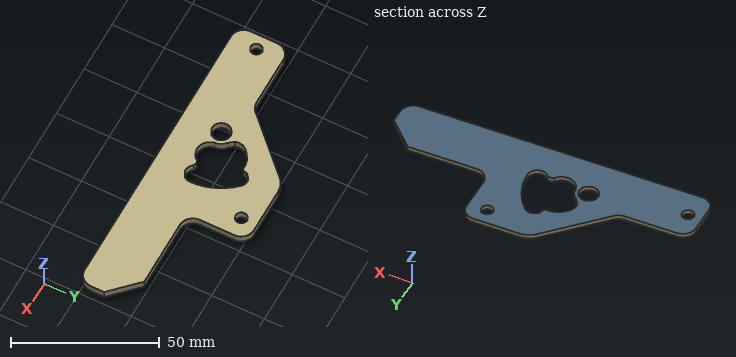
import cadquery as cq
import math

length = 115.0
height = 43.0
thickness = 3.2
arm_height = 20.0
tower_right = 74.5
slope_foot = 26.2
chamfer = 10.0
corner_radius = 5.0
slope_radius = 8.0

small_diameter = 4.3
end_hole = (5.4, 10.0)
tower_hole = (67.3, 36.9)
pivot = (40.0, 15.0)
pivot_diameter = 6.9

outer_radius = 22.5
inner_radius = 5.0
lobe_radius = 3.5
lobe_center_radius = outer_radius - lobe_radius
sweep_angle = 44.3
inner_end_angle = 54.0


def around_pivot(radius, angle):
    """Point at a distance and angle in degrees, relative to the pivot."""
    turn = math.radians(angle)
    return (radius * math.cos(turn), radius * math.sin(turn))


def make_plate():
    slope_top = slope_foot + height - arm_height
    plate = (
        cq.Workplane("XY")
        .polyline([
            (0, 0),
            (length, 0),
            (length, arm_height - chamfer),
            (length - chamfer, arm_height),
            (tower_right, arm_height),
            (tower_right, height),
            (slope_top, height),
            (slope_foot, arm_height),
            (0, arm_height),
        ])
        .close()
        .extrude(thickness)
    )
    rounded_corners = [
        (0, 0, corner_radius),
        (length, 0, corner_radius),
        (tower_right, arm_height, corner_radius),
        (tower_right, height, corner_radius),
        (slope_top, height, slope_radius),
        (slope_foot, arm_height, corner_radius),
        (0, arm_height, corner_radius),
    ]
    for x, y, radius in rounded_corners:
        corner = cq.selectors.NearestToPointSelector((x, y, thickness / 2))
        plate = plate.edges("|Z").edges(corner).fillet(radius)
    return plate


def make_pocket():
    """Clover-shaped opening; its points are relative to the pivot."""
    lower_lobe_bottom = (lobe_center_radius, -lobe_radius)
    lower_lobe_end = (16.2, -2.0)
    lower_nub = (15.1, -1.6)
    inner_lobe_start = (13.8, -2.0)
    inner_lobe_bottom = (9.5, -4.0)
    left_lobe_start = (1.5, 5.9)
    left_lobe_side = (1.3, 7.9)
    left_lobe_shoulder = (2.1, 9.9)
    left_lobe_top = (5.5, 12.6)
    upper_nub_start = (9.5, 13.3)
    upper_nub = (10.2, 13.8)
    upper_lobe_start = (10.6, 14.8)
    upper_lobe_top = (13.7, 16.9)
    return (
        cq.Workplane("XY", origin=(*pivot, 0))
        .moveTo(outer_radius, 0)
        .threePointArc(lower_lobe_bottom, lower_lobe_end)
        .threePointArc(lower_nub, inner_lobe_start)
        .threePointArc(inner_lobe_bottom, (inner_radius, 0))
        .threePointArc(
            around_pivot(inner_radius, inner_end_angle / 2),
            around_pivot(inner_radius, inner_end_angle),
        )
        .lineTo(*left_lobe_start)
        .threePointArc(left_lobe_side, left_lobe_shoulder)
        .threePointArc(left_lobe_top, upper_nub_start)
        .threePointArc(upper_nub, upper_lobe_start)
        .threePointArc(upper_lobe_top, around_pivot(outer_radius, sweep_angle))
        .threePointArc(around_pivot(outer_radius, sweep_angle / 2), (outer_radius, 0))
        .close()
        .extrude(thickness)
    )


def make_hole(center, diameter):
    return cq.Workplane("XY").center(*center).circle(diameter / 2).extrude(thickness)


result = make_plate().cut(make_pocket())
for center, diameter in [
    (end_hole, small_diameter),
    (tower_hole, small_diameter),
    (pivot, pivot_diameter),
]:
    result = result.cut(make_hole(center, diameter))